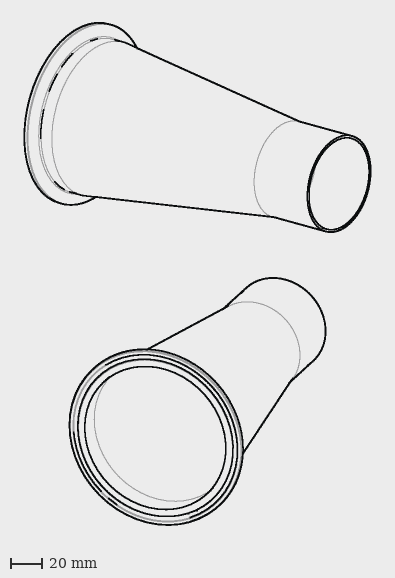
import cadquery as cq
import math

FLANGE_DIAMETER = 118.92
LARGE_TUBE_DIAMETER = 101.6
LARGE_BORE_DIAMETER = 97.38
SMALL_TUBE_DIAMETER = 63.5
SMALL_BORE_DIAMETER = 60.2

FERRULE_LENGTH = 15.875
CONE_LENGTH = 152.4
SMALL_TUBE_LENGTH = 44.45

RIM_THICKNESS = 2.85
CLAMP_ANGLE = 20.0
RIM_FILLET = 0.5
NECK_FILLET = 1.3

GROOVE_MIDDLE_DIAMETER = 110.1
GROOVE_WIDTH = 3.2
GROOVE_DEPTH = 1.2
GROOVE_EDGE_FILLET = 0.5

CONE_END = FERRULE_LENGTH + CONE_LENGTH
TOTAL_LENGTH = CONE_END + SMALL_TUBE_LENGTH


def revolve_about_x(profile):
    """Turn an XY profile a full revolution about the X axis."""
    return profile.revolve(360, (0, 0, 0), (1, 0, 0))


def circle_edges(body, x, diameter):
    """Pick the circular edge centred on the X axis at station x."""
    tolerance = 0.01

    def is_wanted(edge):
        center = edge.arcCenter()
        same_place = abs(center.x - x) < tolerance and math.hypot(center.y, center.z) < tolerance
        return same_place and abs(edge.radius() - diameter / 2) < tolerance

    return body.edges("%CIRCLE").filter(is_wanted)


def make_outer_body():
    """Solid ferrule, cone and small tube with a tapered clamp flange."""
    flange_radius = FLANGE_DIAMETER / 2
    large_radius = LARGE_TUBE_DIAMETER / 2
    small_radius = SMALL_TUBE_DIAMETER / 2
    taper_length = (flange_radius - large_radius) * math.tan(math.radians(CLAMP_ANGLE))
    neck = RIM_THICKNESS + taper_length
    body = revolve_about_x(
        cq.Workplane("XY").polyline([
            (0, 0),
            (0, flange_radius),
            (RIM_THICKNESS, flange_radius),
            (neck, large_radius),
            (FERRULE_LENGTH, large_radius),
            (CONE_END, small_radius),
            (TOTAL_LENGTH, small_radius),
            (TOTAL_LENGTH, 0),
        ]).close()
    )
    body = circle_edges(body, neck, LARGE_TUBE_DIAMETER).fillet(NECK_FILLET)
    body = circle_edges(body, RIM_THICKNESS, FLANGE_DIAMETER).fillet(RIM_FILLET)
    return circle_edges(body, 0, FLANGE_DIAMETER).fillet(RIM_FILLET)


def make_bore():
    """Straight, conical and straight passage through the whole part."""
    large_radius = LARGE_BORE_DIAMETER / 2
    small_radius = SMALL_BORE_DIAMETER / 2
    return revolve_about_x(
        cq.Workplane("XY").polyline([
            (0, 0),
            (0, large_radius),
            (FERRULE_LENGTH, large_radius),
            (CONE_END, small_radius),
            (TOTAL_LENGTH, small_radius),
            (TOTAL_LENGTH, 0),
        ]).close()
    )


def make_gasket_groove():
    """Ring cutter with an arc section, opening on the flange face."""
    middle_radius = GROOVE_MIDDLE_DIAMETER / 2
    return revolve_about_x(
        cq.Workplane("XY")
        .moveTo(0, middle_radius - GROOVE_WIDTH / 2)
        .threePointArc(
            (GROOVE_DEPTH, middle_radius),
            (0, middle_radius + GROOVE_WIDTH / 2),
        )
        .close()
    )


def round_groove_edges(body):
    """Round both rims of the gasket groove."""
    for diameter in (GROOVE_MIDDLE_DIAMETER - GROOVE_WIDTH, GROOVE_MIDDLE_DIAMETER + GROOVE_WIDTH):
        body = circle_edges(body, 0, diameter).fillet(GROOVE_EDGE_FILLET)
    return body


outer_body = make_outer_body()
hollow_body = outer_body.cut(make_bore()).cut(make_gasket_groove())
result = round_groove_edges(hollow_body)